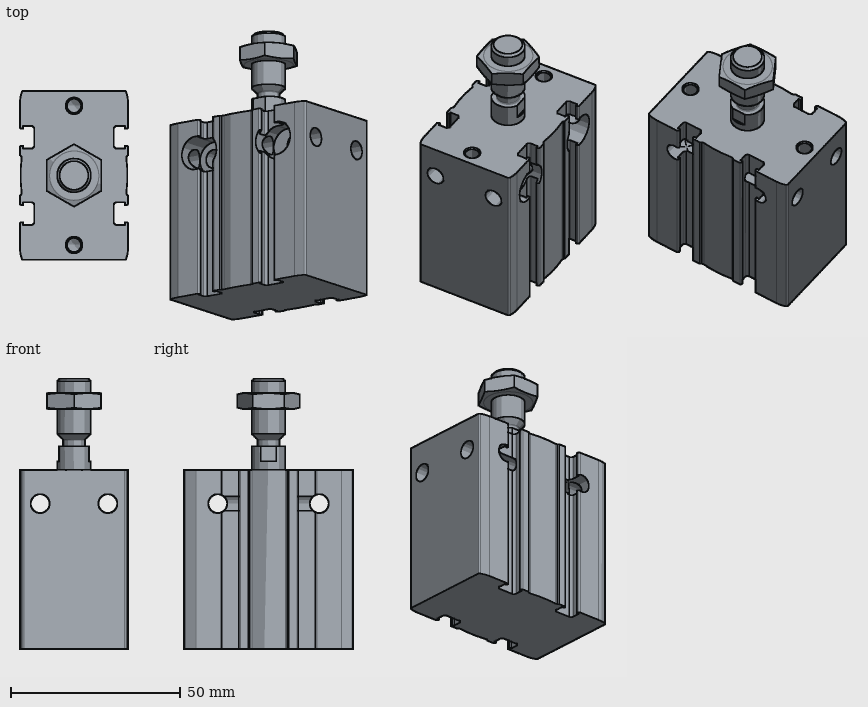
import cadquery as cq
import math

HOUSING_WIDTH = 32.0
HOUSING_DEPTH = 50.0
HOUSING_HEIGHT = 53.0

FLANK_ARC_START = 21.5
FLANK_ARC_RADIUS = 9.2
CORNER_FILLET = 0.6

SLOT_OFFSET = 11.3
SLOT_OPENING = 5.0
SLOT_INNER_WIDTH = 6.6
SLOT_DEPTH = 4.2
LIP_THICKNESS = 1.0
SLOT_FLOOR_FILLET = 0.9
LIP_FILLET = 0.5

RECESS_HALF_WIDTH = 6.0
RECESS_FLOOR_HALF_WIDTH = 5.0
RECESS_DEPTH = 0.5
RECESS_STEP_WIDTH = 0.4
RECESS_BULGE = 0.3

MOUNT_HOLE_DIAMETER = 5.5
MOUNT_HOLE_Z = HOUSING_HEIGHT - 10.0
SIDE_HOLE_OFFSET = 30.0 / 2
CROSS_HOLE_OFFSET = 10.0
COUNTERBORE_DIAMETER = 10.0
COUNTERBORE_INNER_OFFSET = 12.2
COUNTERBORE_DEPTH = 9.0

TOP_HOLE_DIAMETER = 4.2
TOP_HOLE_RIM_DIAMETER = 5.0
TOP_HOLE_OFFSET = 20.6
TOP_HOLE_DEPTH = 10.0
DRILL_POINT_ANGLE = 118.0

ROD_DIAMETER = 10.0
ROD_END_Z = 80.0
ROD_TIP_DIAMETER = 8.5
NECK_DIAMETER = 6.6
NECK_BOTTOM_Z = 60.0
NECK_TOP_Z = 62.0
NECK_FILLET = 0.2
FLATS_WIDTH = 9.0
FLATS_BOTTOM_Z = 55.5

NUT_SIDES = 6
NUT_ACROSS_FLATS = 16.0
NUT_THICKNESS = 5.0
NUT_BOTTOM_Z = 70.9
NUT_FACE_DIAMETER = 14.6
NUT_CHAMFER_ANGLE = 15.0


def housing_block():
    """Plain block whose ends narrow along an arc and finish in a small fillet."""
    half_width = HOUSING_WIDTH / 2
    half_depth = HOUSING_DEPTH / 2
    arc_centre_x = half_width - FLANK_ARC_RADIUS
    end_rise = half_depth - FLANK_ARC_START
    end_x = arc_centre_x + math.sqrt(FLANK_ARC_RADIUS**2 - end_rise**2)
    mid_angle = math.asin(end_rise / FLANK_ARC_RADIUS) / 2
    mid_x = arc_centre_x + FLANK_ARC_RADIUS * math.cos(mid_angle)
    mid_y = FLANK_ARC_START + FLANK_ARC_RADIUS * math.sin(mid_angle)
    return (
        cq.Workplane("XY")
        .moveTo(half_width, -FLANK_ARC_START)
        .lineTo(half_width, FLANK_ARC_START)
        .threePointArc((mid_x, mid_y), (end_x, half_depth))
        .lineTo(-end_x, half_depth)
        .threePointArc((-mid_x, mid_y), (-half_width, FLANK_ARC_START))
        .lineTo(-half_width, -FLANK_ARC_START)
        .threePointArc((-mid_x, -mid_y), (-end_x, -half_depth))
        .lineTo(end_x, -half_depth)
        .threePointArc((mid_x, -mid_y), (half_width, -FLANK_ARC_START))
        .close()
        .extrude(HOUSING_HEIGHT)
        .edges("|Z")
        .edges("<Y or >Y")
        .fillet(CORNER_FILLET)
    )


def t_slot(side, y):
    """Cutter for one T-slot; side is +1 or -1 for the X side it opens on."""
    opening_face = side * HOUSING_WIDTH / 2
    inner_depth = SLOT_DEPTH - LIP_THICKNESS
    inner_centre = opening_face - side * (LIP_THICKNESS + inner_depth / 2)
    opening = (
        cq.Workplane("XY")
        .center(opening_face, y)
        .rect(2 * SLOT_DEPTH, SLOT_OPENING)
        .extrude(HOUSING_HEIGHT)
    )
    inner = (
        cq.Workplane("XY")
        .center(inner_centre, y)
        .rect(inner_depth, SLOT_INNER_WIDTH)
        .extrude(HOUSING_HEIGHT)
        .edges("|Z")
        .edges("<X" if side > 0 else ">X")
        .fillet(SLOT_FLOOR_FILLET)
    )
    return opening.union(inner)


def side_recess(side):
    """Cutter for the shallow recess in the middle of one X side."""
    face = side * HOUSING_WIDTH / 2
    step = face - side * RECESS_STEP_WIDTH
    step_half_width = RECESS_HALF_WIDTH - RECESS_STEP_WIDTH
    floor = face - side * RECESS_DEPTH
    return (
        cq.Workplane("XY")
        .moveTo(face, -RECESS_HALF_WIDTH)
        .lineTo(step, -step_half_width)
        .lineTo(floor, -RECESS_FLOOR_HALF_WIDTH)
        .threePointArc((floor + side * RECESS_BULGE, 0), (floor, RECESS_FLOOR_HALF_WIDTH))
        .lineTo(step, step_half_width)
        .lineTo(face, RECESS_HALF_WIDTH)
        .close()
        .extrude(HOUSING_HEIGHT)
    )


def round_lips(housing):
    """Round the outer corners of the T-slot lips."""
    for side in (-1, 1):
        for slot_y in (-SLOT_OFFSET, SLOT_OFFSET):
            for edge in (-1, 1):
                corner_y = slot_y + edge * SLOT_OPENING / 2
                corner = (side * HOUSING_WIDTH / 2, corner_y, HOUSING_HEIGHT / 2)
                housing = housing.edges(cq.selectors.NearestToPointSelector(corner)).fillet(LIP_FILLET)
    return housing


def side_hole(y_sign):
    """Cutter for a hole along X with an oblong counterbore on the -X side."""
    hole = (
        cq.Workplane("YZ", origin=(-HOUSING_WIDTH / 2, 0, 0))
        .center(y_sign * SIDE_HOLE_OFFSET, MOUNT_HOLE_Z)
        .circle(MOUNT_HOLE_DIAMETER / 2)
        .extrude(HOUSING_WIDTH)
    )
    oblong_length = SIDE_HOLE_OFFSET - COUNTERBORE_INNER_OFFSET + COUNTERBORE_DIAMETER
    oblong_centre = (SIDE_HOLE_OFFSET + COUNTERBORE_INNER_OFFSET) / 2
    counterbore = (
        cq.Workplane("YZ", origin=(-HOUSING_WIDTH / 2, 0, 0))
        .center(y_sign * oblong_centre, MOUNT_HOLE_Z)
        .slot2D(oblong_length, COUNTERBORE_DIAMETER)
        .extrude(COUNTERBORE_DEPTH)
    )
    return hole.union(counterbore)


def cross_hole(x_sign):
    """Cutter for a plain hole along Y."""
    return (
        cq.Workplane("XZ", origin=(0, HOUSING_DEPTH / 2, 0))
        .center(x_sign * CROSS_HOLE_OFFSET, MOUNT_HOLE_Z)
        .circle(MOUNT_HOLE_DIAMETER / 2)
        .extrude(HOUSING_DEPTH)
    )


def top_hole(y_sign):
    """Cutter for a blind hole in the top face with a chamfered rim and a drill point."""
    radius = TOP_HOLE_DIAMETER / 2
    rim_radius = TOP_HOLE_RIM_DIAMETER / 2
    rim_depth = rim_radius - radius
    point_depth = radius / math.tan(math.radians(DRILL_POINT_ANGLE / 2))
    return (
        cq.Workplane("XZ")
        .moveTo(0, 0)
        .lineTo(rim_radius, 0)
        .lineTo(radius, -rim_depth)
        .lineTo(radius, -TOP_HOLE_DEPTH)
        .lineTo(0, -TOP_HOLE_DEPTH - point_depth)
        .close()
        .revolve(360, (0, 0, 0), (0, 1, 0))
        .translate((0, y_sign * TOP_HOLE_OFFSET, HOUSING_HEIGHT))
    )


def make_housing():
    """Block with T-slots, recesses and holes."""
    housing = housing_block()
    for side in (-1, 1):
        housing = housing.cut(side_recess(side))
        for slot_y in (-SLOT_OFFSET, SLOT_OFFSET):
            housing = housing.cut(t_slot(side, slot_y))
    housing = round_lips(housing)
    for sign in (-1, 1):
        housing = housing.cut(side_hole(sign)).cut(cross_hole(sign)).cut(top_hole(sign))
    return housing


def make_rod():
    """Rod standing on the housing, with wrench flats, a neck and a chamfered tip."""
    radius = ROD_DIAMETER / 2
    tip_radius = ROD_TIP_DIAMETER / 2
    neck_radius = NECK_DIAMETER / 2
    shoulder_height = radius - neck_radius
    rod = (
        cq.Workplane("XZ")
        .moveTo(0, HOUSING_HEIGHT)
        .lineTo(radius, HOUSING_HEIGHT)
        .lineTo(radius, NECK_BOTTOM_Z)
        .lineTo(neck_radius, NECK_BOTTOM_Z)
        .lineTo(neck_radius, NECK_TOP_Z)
        .lineTo(radius, NECK_TOP_Z + shoulder_height)
        .lineTo(radius, ROD_END_Z - (radius - tip_radius))
        .lineTo(tip_radius, ROD_END_Z)
        .lineTo(0, ROD_END_Z)
        .close()
        .revolve(360, (0, 0, 0), (0, 1, 0))
    )
    reach = neck_radius + NECK_FILLET
    neck_edges = cq.selectors.BoxSelector(
        (-reach, -reach, NECK_BOTTOM_Z - NECK_FILLET),
        (reach, reach, NECK_TOP_Z + NECK_FILLET),
        boundingbox=True,
    )
    rod = rod.edges("%CIRCLE").edges(neck_edges).fillet(NECK_FILLET)
    flats_height = NECK_BOTTOM_Z - FLATS_BOTTOM_Z
    flat_cut = radius - FLATS_WIDTH / 2
    for side in (-1, 1):
        beyond_flat = (
            cq.Workplane("XY", origin=(0, 0, FLATS_BOTTOM_Z))
            .center(side * (FLATS_WIDTH + flat_cut) / 2, 0)
            .rect(flat_cut, ROD_DIAMETER)
            .extrude(flats_height)
        )
        rod = rod.cut(beyond_flat)
    return rod


def make_nut():
    """Hexagon nut, corners along Y, with both faces chamfered, bored to fit the rod."""
    corner_diameter = NUT_ACROSS_FLATS / math.cos(math.pi / NUT_SIDES)
    corner_radius = corner_diameter / 2
    face_radius = NUT_FACE_DIAMETER / 2
    corner_drop = (corner_radius - face_radius) * math.tan(math.radians(NUT_CHAMFER_ANGLE))
    hexagon = (
        cq.Workplane("XY")
        .polygon(NUT_SIDES, corner_diameter)
        .extrude(NUT_THICKNESS)
        .rotate((0, 0, 0), (0, 0, 1), 90)
    )
    chamfered_disc = (
        cq.Workplane("XZ")
        .moveTo(0, 0)
        .lineTo(face_radius, 0)
        .lineTo(corner_radius, corner_drop)
        .lineTo(corner_radius, NUT_THICKNESS - corner_drop)
        .lineTo(face_radius, NUT_THICKNESS)
        .lineTo(0, NUT_THICKNESS)
        .close()
        .revolve(360, (0, 0, 0), (0, 1, 0))
    )
    bore = cq.Workplane("XY").circle(ROD_DIAMETER / 2).extrude(NUT_THICKNESS)
    return hexagon.intersect(chamfered_disc).cut(bore).translate((0, 0, NUT_BOTTOM_Z))


housing = make_housing()
rod = make_rod()
nut = make_nut()

result = cq.Compound.makeCompound([housing.val(), rod.val(), nut.val()])